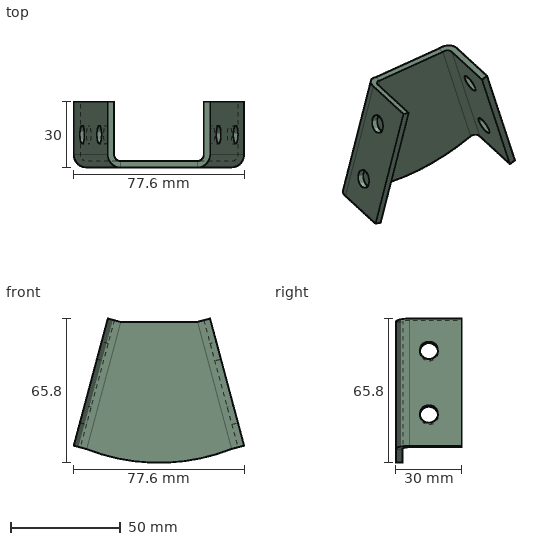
import cadquery as cq
import math

thickness = 3.0
inner_bend_radius = 3.0
outer_bend_radius = inner_bend_radius + thickness
depth = 30.0
top_half_width = 17.5
flange_length = 60.0
lean_angle = 15.0
arc_radius = 90.0

hole_diameter = 8.2
hole_y = depth / 2
hole_distances = (flange_length / 4, flange_length * 3 / 4)

lean = math.radians(lean_angle)
bottom_half_width = top_half_width + flange_length * math.sin(lean)
corner_z = -flange_length * math.cos(lean)
arc_rise = arc_radius - math.sqrt(arc_radius**2 - bottom_half_width**2)
arc_bottom_z = corner_z - arc_rise


def make_web():
    """Flat plate between the bend lines, with its outer face at Y = 0."""
    return (
        cq.Workplane("XZ")
        .moveTo(-top_half_width, 0)
        .lineTo(top_half_width, 0)
        .lineTo(bottom_half_width, corner_z)
        .threePointArc((0, arc_bottom_z), (-bottom_half_width, corner_z))
        .close()
        .extrude(-thickness)
    )


def make_flange():
    """Bend and drilled flange on the +X side, built upright and then leaned onto the web."""
    outer_diagonal = outer_bend_radius * math.sin(math.pi / 4)
    inner_diagonal = inner_bend_radius * math.sin(math.pi / 4)
    flange = (
        cq.Workplane("XY")
        .moveTo(0, 0)
        .threePointArc(
            (outer_diagonal, outer_bend_radius - outer_diagonal),
            (outer_bend_radius, outer_bend_radius),
        )
        .lineTo(outer_bend_radius, depth)
        .lineTo(inner_bend_radius, depth)
        .lineTo(inner_bend_radius, outer_bend_radius)
        .threePointArc(
            (inner_diagonal, outer_bend_radius - inner_diagonal),
            (0, thickness),
        )
        .close()
        .extrude(-flange_length)
    )
    holes = (
        cq.Workplane("YZ")
        .pushPoints([(hole_y, -distance) for distance in hole_distances])
        .circle(hole_diameter / 2)
        .extrude(outer_bend_radius)
    )
    return (
        flange.cut(holes)
        .rotate((0, 0, 0), (0, 1, 0), -lean_angle)
        .translate((top_half_width, 0, 0))
    )


right_flange = make_flange()
left_flange = right_flange.mirror("YZ")
result = make_web().union(right_flange).union(left_flange)